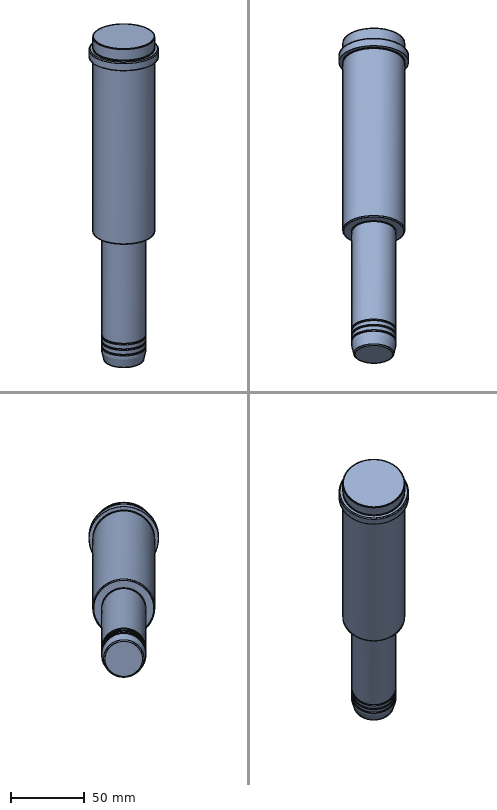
import cadquery as cq

total_length = 240.0
shank_length = 94.8
head_length = 9.0
collar_thickness = 6.0

body_diameter = 42.0
collar_diameter = 47.0
shank_diameter = 30.0
tip_diameter = 27.0

collar_chamfer = 0.7
body_chamfer = 0.7
head_chamfer = 0.5
taper_length = 7.0
tip_chamfer = 0.7

collar_relief_width = 0.85
shank_relief_width = 0.7
relief_depth = 0.5

groove_count = 3
groove_width = 1.2
groove_depth = 0.5
lowest_groove_middle = 10.3
groove_pitch = 4.0


def cylinder(diameter, bottom, top):
    """Cylinder on the Z axis between two heights."""
    return cq.Workplane("XY").workplane(offset=bottom).circle(diameter / 2).extrude(top - bottom)


def v_groove_cutter(diameter, middle, width, depth):
    """Ring with a triangular section that cuts a V groove into a cylinder."""
    radius = diameter / 2
    section = [
        (radius, middle - width / 2),
        (radius, middle + width / 2),
        (radius - depth, middle),
    ]
    return cq.Workplane("XZ").polyline(section).close().revolve(360, (0, 0), (0, 1))


def make_shank():
    """Shank with a tapered, chamfered lower end, evenly spaced grooves and a top relief."""
    cone = (
        cq.Workplane("XY")
        .circle(tip_diameter / 2)
        .workplane(offset=taper_length)
        .circle(shank_diameter / 2)
        .loft(ruled=True)
    )
    tip = cone.faces("<Z").chamfer(tip_chamfer)
    shank = tip.union(cylinder(shank_diameter, taper_length, shank_length))
    for index in range(groove_count):
        middle = lowest_groove_middle + index * groove_pitch
        shank = shank.cut(v_groove_cutter(shank_diameter, middle, groove_width, groove_depth))
    relief_middle = shank_length - shank_relief_width / 2
    return shank.cut(v_groove_cutter(shank_diameter, relief_middle, shank_relief_width, relief_depth))


def make_body(collar_bottom, collar_top):
    """Main cylinder, running through the collar up to the head, with a relief on each collar side."""
    body = cylinder(body_diameter, shank_length, total_length)
    body = body.faces("<Z").chamfer(body_chamfer)
    body = body.faces(">Z").chamfer(head_chamfer)
    for middle in (collar_bottom - collar_relief_width / 2, collar_top + collar_relief_width / 2):
        body = body.cut(v_groove_cutter(body_diameter, middle, collar_relief_width, relief_depth))
    return body


def make_collar(collar_bottom, collar_top):
    """Collar with a chamfered upper rim."""
    return cylinder(collar_diameter, collar_bottom, collar_top).faces(">Z").chamfer(collar_chamfer)


collar_top = total_length - head_length
collar_bottom = collar_top - collar_thickness

shank = make_shank()
body = make_body(collar_bottom, collar_top)
collar = make_collar(collar_bottom, collar_top)
result = shank.union(body).union(collar)